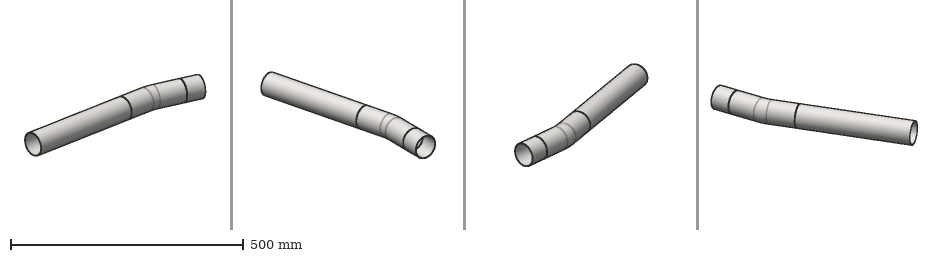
import cadquery as cq
import math

overall_length = 462.0
overall_width = 84.5
outer_diameter = 54.0
bore_diameter = 50.0
outer_radius = outer_diameter / 2

bend_angle = 15.0
bend_radius = 90.0
elbow_leg = 64.5

groove_width = 2.0
groove_depth = 0.5

sine = math.sin(math.radians(bend_angle))
cosine = math.cos(math.radians(bend_angle))

bend_offset = bend_radius * (1 - cosine)
bend_rise = bend_radius * sine
outlet_length = (overall_width - outer_radius * (1 + cosine) - bend_offset) / sine
inlet_length = overall_length - bend_rise - outlet_length * cosine - outer_radius * sine

bend_start = (0, inlet_length)
bend_end = (bend_offset, inlet_length + bend_rise)


def tube_end(point, direction):
    """Workplane across the centreline at a point in the XY plane."""
    return cq.Workplane(cq.Plane(origin=(*point, 0), xDir=(0, 0, 1), normal=(*direction, 0)))


def bent_rod(diameter):
    """Solid rod following the inlet, the bend and the outlet."""
    inlet = tube_end((0, 0), (0, 1)).circle(diameter / 2).extrude(inlet_length)
    bend = (
        cq.Workplane("XZ", origin=(*bend_start, 0))
        .circle(diameter / 2)
        .revolve(bend_angle, (bend_radius, 0, 0), (bend_radius, -1, 0))
    )
    outlet = tube_end(bend_end, (sine, cosine)).circle(diameter / 2).extrude(outlet_length)
    return inlet.union(bend).union(outlet)


def groove_ring(point, direction):
    """Ring of material to remove around a joint centred on the point."""
    return (
        tube_end(point, direction)
        .circle(outer_radius + groove_depth)
        .circle(outer_radius - groove_depth)
        .extrude(groove_width / 2, both=True)
    )


inlet_joint = (0, inlet_length - elbow_leg)
outlet_joint = (bend_end[0] + elbow_leg * sine, bend_end[1] + elbow_leg * cosine)

result = (
    bent_rod(outer_diameter)
    .cut(bent_rod(bore_diameter))
    .cut(groove_ring(inlet_joint, (0, 1)))
    .cut(groove_ring(outlet_joint, (sine, cosine)))
)